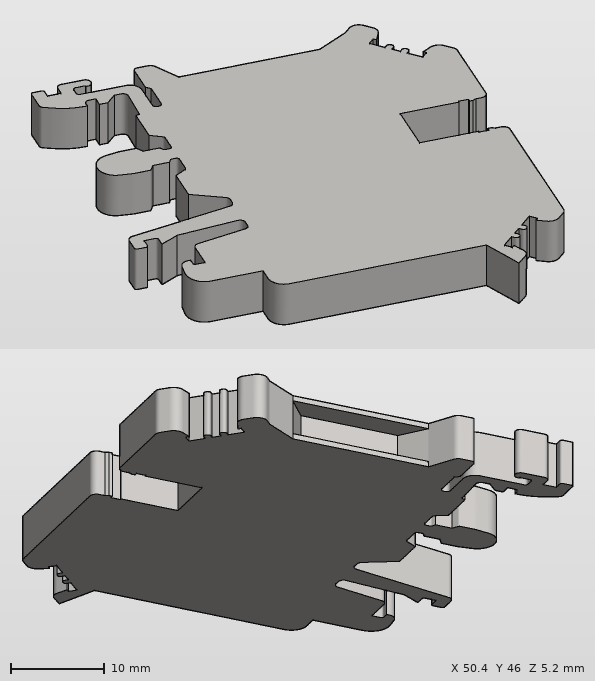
import cadquery as cq
import math


length = 50.35
height = 46.0
thickness = 5.2
right_x = length / 2
left_x = -right_x
top_y = height / 2
bottom_y = -top_y
sharp = 0
small_radius = 0.25

left_wall_x = -21.95
right_wall_x = 20.65
left_wall_top_y = 9.15
left_wall_bottom_y = -6.95
right_wall_top_y = 12.8
body_corner_radius = 1.8
belly_y = -13.9
shelf_y = -11.55
right_tip_y = 14.85

rail_top_y = -16.8
rail_bottom_y = -18.1
notch_top_y = -19.95
notch_bottom_y = -21.5

slot_center_x = -3.95
slot_width = 6.15
slot_depth = 10.05
slot_edge_radius = 0.75
barb_depth = 2.2
barb_length = 0.8
barb_projection = 0.2
undercut_length = 1.1
undercut_size = 0.175

seat_mirror_x = 0.05
seat_center_x = -19.0
seat_center_y = 16.8
seat_length = 6.35
seat_wall_height = 0.95
seat_lip = 0.4
rib_spacing = 1.8
rib_width = 0.8
rib_height = 0.75
rib_radius = 0.35
shoulder_top_x = -17.05
shoulder_top_radius = 0.85
shoulder_drop = 1.7
shoulder_radius = 1.25
ear_x = -23.5
ear_y = 16.5
ear_radius = 1.0

ear_tip_y = 14.35
ear_tip_radius = 1.15
ear_root_x = -24.1
ear_root_y = 12.9
nose_top_y = -8.85
nose_bottom_y = -11.0
nose_top_radius = 0.8
nose_bottom_radius = 0.5

slit_mouth_x = -21.25
slit_step = 0.45
slit_end_x = -17.2
slit_top_y = -10.5
slit_radius = 0.45

arm_outer_x = -22.3
arm_inner_x = -20.9
arm_outer_radius = 1.4
arm_root_y = -13.3
arm_root_radius = 0.6
arm_root_end_x = -16.45
arm_root_rise = 0.15
release_outer_x = -24.85
release_inner_x = -23.7
release_top_y = -16.15
release_bump_y = -16.95
release_bump = 0.15
release_gap_y = -18.4
release_radius = 0.6
release_gap_radius = 0.35
left_notch_x = -23.2
left_toe_x = -24.35
left_sole_end_x = -21.4
left_sole_radius = 0.45
left_heel_x = -19.9
left_heel_y = -20.2
left_heel_radius = 7.55
left_claw_x = -19.75
left_claw_y = -15.85
claw_ramp = 1.15
left_recess_radius = 0.5

plug_center_x = -7.9
plug_relief_half_mouth = 4.25
plug_relief_half_top = 3.35
plug_relief_y = -12.45
plug_relief_radius = 0.3
plug_root_half = 1.0
plug_root_bottom_y = -13.35
plug_neck_half = 1.5
plug_neck_top_y = -13.65
plug_neck_bottom_y = -15.55
plug_bulb_half = 2.3
plug_bulb_top_y = -16.05
plug_bulb_taper_y = -18.0
plug_bulb_taper_radius = 2.5
plug_tip_half = 1.8
plug_tip_y = -21.35
plug_tip_radius = 2.05

leg_relief_start_x = 0.3
leg_relief_top_x = 2.4
leg_relief_y = -10.0
leg_relief_radius = 0.6
leg_left_top_x = 3.95
leg_left_bottom_x = 6.15
leg_right_top_x = 6.9
leg_right_bottom_x = 7.5
leg_toe_x = 8.6
leg_claw_y = -17.8
leg_notch_x = 7.3
leg_sole_radius = 0.75

foot_left_top_x = 8.7
foot_left_bottom_x = 9.9
foot_left_radius = 0.7
foot_recess_x = 13.6
foot_claw_x = 12.65
foot_claw_bottom_y = -19.35
foot_claw_radius = 1.0
foot_low_x = 14.85
foot_bottom_y = -19.6
foot_right_x = 17.25
foot_right_radius = 2.1

pocket_depth = 2.9
pocket_height = 3.95
pocket_end_run = 2.3


def mirrored(corners, axis_x):
    """Reflect a stretch across the vertical line x = axis_x, keeping the travel direction."""
    return [(2 * axis_x - x, y, radius) for x, y, radius in reversed(corners)]


def slot_left_side():
    """Left side of the wire slot, from its floor up to the top edge, with a snap barb."""
    wall_x = slot_center_x - slot_width / 2
    barb_y = top_y - barb_depth
    return [
        (wall_x, top_y - slot_depth, sharp),
        (wall_x, barb_y - undercut_length, sharp),
        (wall_x - undercut_size, barb_y - undercut_length, sharp),
        (wall_x - undercut_size, barb_y, sharp),
        (wall_x + barb_projection, barb_y, sharp),
        (wall_x + barb_projection, barb_y + barb_length / 2, sharp),
        (wall_x, barb_y + barb_length, sharp),
        (wall_x, top_y, slot_edge_radius),
    ]


def on_seat(along, above, radius=sharp):
    """Corner given along the left seat floor (towards the top) and above it (outwards)."""
    x = seat_center_x + (along - above) * math.sqrt(0.5)
    y = seat_center_y + (along + above) * math.sqrt(0.5)
    return (x, y, radius)


def seat_rib(center):
    return [
        on_seat(center + rib_width / 2, 0),
        on_seat(center + rib_width / 2, rib_height, rib_radius),
        on_seat(center - rib_width / 2, rib_height, rib_radius),
        on_seat(center - rib_width / 2, 0),
    ]


def left_seat():
    """Shoulder, ribbed marker seat and ear crest of the upper left corner."""
    half = seat_length / 2
    shoulder = [
        (shoulder_top_x, top_y, shoulder_top_radius),
        (shoulder_top_x - shoulder_drop, top_y - shoulder_drop, shoulder_radius),
    ]
    upper_wall = [
        on_seat(half - seat_lip, seat_wall_height),
        on_seat(half, seat_wall_height),
        on_seat(half, 0),
    ]
    ribs = seat_rib(rib_spacing / 2) + seat_rib(-rib_spacing / 2)
    lower_wall = [
        on_seat(-half, 0),
        on_seat(-half, seat_wall_height),
        on_seat(-half + seat_lip, seat_wall_height),
    ]
    ear_crest = [(ear_x, ear_y, ear_radius)]
    return shoulder + upper_wall + ribs + lower_wall + ear_crest


def left_side():
    """Ear tip, left wall, nose and relief slit."""
    ear_tip_x = left_x - ear_tip_radius * (math.sqrt(2) - 1)
    return [
        (ear_tip_x, ear_tip_y, ear_tip_radius),
        (ear_root_x, ear_root_y, sharp),
        (left_wall_x, left_wall_top_y, sharp),
        (left_wall_x, left_wall_bottom_y, sharp),
        (left_x, nose_top_y, nose_top_radius),
        (left_x, nose_bottom_y, nose_bottom_radius),
        (slit_mouth_x, nose_bottom_y, sharp),
        (slit_mouth_x + slit_step, slit_top_y, sharp),
        (slit_end_x, slit_top_y, slit_radius),
        (slit_end_x, shelf_y, slit_radius),
    ]


def left_foot():
    """Spring arm, release hook, sole, rail recess and claw."""
    return [
        (arm_outer_x, shelf_y, arm_outer_radius),
        (arm_outer_x, release_gap_y, release_gap_radius),
        (release_inner_x, release_gap_y, release_gap_radius),
        (release_inner_x, release_bump_y, sharp),
        (release_inner_x + release_bump, release_bump_y, sharp),
        (release_inner_x + release_bump, release_top_y, release_radius),
        (release_outer_x, release_top_y, release_radius),
        (release_outer_x, notch_top_y, release_radius),
        (left_notch_x, notch_top_y, sharp),
        (left_notch_x, notch_bottom_y, sharp),
        (left_toe_x, notch_bottom_y, small_radius),
        (left_toe_x, bottom_y, small_radius),
        (left_sole_end_x, bottom_y, left_sole_radius),
        (left_heel_x, left_heel_y, left_heel_radius),
        (left_heel_x, rail_bottom_y, sharp),
        (arm_inner_x, rail_bottom_y, left_recess_radius),
        (arm_inner_x, rail_top_y, sharp),
        (left_claw_x, rail_top_y, sharp),
        (left_claw_x, left_claw_y, sharp),
        (arm_inner_x, left_claw_y + claw_ramp, sharp),
        (arm_inner_x, arm_root_y, arm_root_radius),
        (arm_root_end_x, arm_root_y - arm_root_rise, sharp),
        (arm_root_end_x + arm_root_rise, belly_y, sharp),
    ]


def plug_left_half():
    """Left half of the plug and of the relief around its root."""
    x = plug_center_x
    return [
        (x - plug_relief_half_mouth, belly_y, sharp),
        (x - plug_relief_half_top, plug_relief_y, plug_relief_radius),
        (x - plug_root_half, plug_relief_y, plug_relief_radius),
        (x - plug_root_half, plug_root_bottom_y, small_radius),
        (x - plug_neck_half, plug_neck_top_y, sharp),
        (x - plug_neck_half, plug_neck_bottom_y, sharp),
        (x - plug_bulb_half, plug_bulb_top_y, small_radius),
        (x - plug_bulb_half, plug_bulb_taper_y, plug_bulb_taper_radius),
        (x - plug_tip_half, plug_tip_y, plug_tip_radius),
    ]


def right_leg():
    """Slanted spring leg with a notched toe, and the relief on its left."""
    return [
        (leg_relief_start_x, belly_y, sharp),
        (leg_relief_top_x, leg_relief_y, leg_relief_radius),
        (leg_left_top_x, leg_relief_y, leg_relief_radius),
        (leg_left_bottom_x, bottom_y, leg_sole_radius),
        (leg_toe_x, bottom_y, small_radius),
        (leg_toe_x, notch_bottom_y, small_radius),
        (leg_notch_x, notch_bottom_y, sharp),
        (leg_notch_x, notch_top_y, small_radius),
        (leg_toe_x, notch_top_y, sharp),
        (leg_right_bottom_x, leg_claw_y, sharp),
        (leg_right_top_x, leg_relief_y, leg_relief_radius),
    ]


def right_foot():
    """Rigid foot with its rail recess and claw, up to the right wall and its pointed tip."""
    return [
        (foot_left_top_x, leg_relief_y, leg_relief_radius),
        (foot_left_bottom_x, rail_top_y, foot_left_radius),
        (foot_recess_x, rail_top_y, sharp),
        (foot_recess_x, rail_bottom_y, small_radius),
        (foot_claw_x, rail_bottom_y, sharp),
        (foot_claw_x, foot_claw_bottom_y, foot_claw_radius),
        (foot_low_x, foot_bottom_y, sharp),
        (foot_right_x, foot_bottom_y, foot_right_radius),
        (foot_right_x, shelf_y, sharp),
        (right_wall_x, shelf_y, body_corner_radius),
        (right_wall_x, right_wall_top_y, sharp),
        (right_x, right_tip_y, sharp),
    ]


def toward(start, end, distance):
    """Point at the given distance from start in the direction of end."""
    span = math.dist(start, end)
    return tuple(a + (b - a) * distance / span for a, b in zip(start, end))


def rounded_corner(before, corner, after):
    """Arc start, middle and end that round one corner, or just the corner if it is sharp."""
    here, radius = corner[:2], corner[2]
    if radius == sharp:
        return [here]
    toward_before = toward(here, before[:2], 0.5)
    toward_after = toward(here, after[:2], 0.5)
    half_angle = math.asin(math.dist(toward_before, toward_after) / 1)
    tangent_length = radius / math.tan(half_angle)
    middle_gap = radius / math.sin(half_angle) - radius
    bisector = tuple((a + b) / 2 for a, b in zip(toward_before, toward_after))
    return [
        toward(here, before[:2], tangent_length),
        toward(here, bisector, middle_gap),
        toward(here, after[:2], tangent_length),
    ]


def rounded_plate(corners, plate_thickness):
    """Plate centred on Z = 0 whose outline follows the rounded corners."""
    following = corners[1:] + corners[:1]
    preceding = corners[-1:] + corners[:-1]
    stretches = [rounded_corner(*trio) for trio in zip(preceding, corners, following)]
    path = cq.Workplane("XY").workplane(offset=-plate_thickness / 2).moveTo(*stretches[-1][-1])
    for stretch in stretches:
        path = path.lineTo(*stretch[0])
        if len(stretch) > 1:
            path = path.threePointArc(*stretch[1:])
    return path.close().extrude(plate_thickness)


def marker_pocket():
    """Cutter for the left wall pocket, narrowing from the wall to its flat floor."""
    floor_x = left_wall_x + pocket_depth
    corners = [
        (left_wall_x, left_wall_top_y, sharp),
        (left_wall_x, left_wall_bottom_y, sharp),
        (floor_x, left_wall_bottom_y + pocket_end_run, sharp),
        (floor_x, left_wall_top_y - pocket_end_run, sharp),
    ]
    return rounded_plate(corners, pocket_height)


outline = (
    slot_left_side()
    + left_seat()
    + left_side()
    + left_foot()
    + plug_left_half()
    + mirrored(plug_left_half(), plug_center_x)
    + right_leg()
    + right_foot()
    + mirrored(left_seat(), seat_mirror_x)
    + mirrored(slot_left_side(), slot_center_x)
)
result = rounded_plate(outline, thickness).cut(marker_pocket())